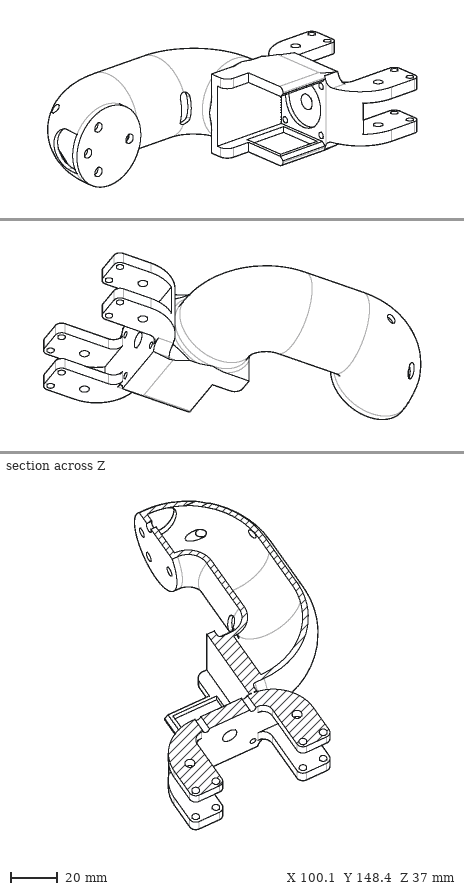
import cadquery as cq
import math

pipe_radius = 18.5
pipe_wall = 2.0
bend_radius = 23.5
straight_length = 28.0
lower_axis_y = pipe_radius
bend_start_y = lower_axis_y + bend_radius
bend_end_y = bend_start_y + straight_length
upper_axis_y = bend_end_y + bend_radius
pipe_axis_x = pipe_radius
pipe_end_x = pipe_axis_x + bend_radius

flange_thickness = 2.7
flange_bolt_radius = 12.0
driver_hole_count = 3
flange_bolt_diameter = 4.2
access_radius = 9.2
access_center_x = 36.0

cable_slot_length = 15.0
cable_slot_width = 5.0

bracket_half_height = pipe_radius
side_plate_thickness = 3.8
motor_size = 28.0
motor_center_x = 65.64
cavity_left_x = motor_center_x - motor_size / 2
cavity_right_x = motor_center_x + motor_size / 2
side_plate_x = cavity_left_x - side_plate_thickness
side_plate_front_y = upper_axis_y - pipe_radius
flange_front_y = 87.7
tab_length = 9.7
tab_corner_radius = 4.0
lip_round = 2.2
lip_chamfer = 1.6
blend_radius = 1.3

motor_wall_y = upper_axis_y + pipe_radius
motor_wall_thickness = 7.6
back_y = motor_wall_y + motor_wall_thickness
motor_bolt_spacing = 23.0
motor_bolt_diameter = 2.8
motor_shaft_diameter = 7.0
motor_pilot_diameter = 22.5
motor_pilot_depth = 2.0

slope_start_y = 110.4
slope_drop = 1.6

pocket_side_margin = 3.2
pocket_front_margin = 1.6
pocket_depth = 2.7

arm_width = 16.0
arm_spacing = 53.0
arm_tip_y = 148.38
arm_outer_z = 12.7
arm_inner_z = 7.25
arm_outer_radius = 20.0
arm_tip_radius = 3.0
arm_tip_hole_diameter = 3.2
arm_tip_hole_spacing = 10.0
arm_tip_hole_setback = 3.0
arm_pivot_diameter = 4.1
arm_pivot_y = 131.5
fork_half_width = (arm_spacing + arm_width) / 2
fork_half_gap = (arm_spacing - arm_width) / 2
fork_fillet = fork_half_gap - motor_size / 2
arm_straight_y = motor_wall_y + arm_outer_radius

runout_length = 11.0

clearance = 5.0

selection_margin = 1.0


def box(x0, x1, y0, y1, z0, z1):
    """Axis-aligned box between two corners."""
    return cq.Workplane("XY").box(x1 - x0, y1 - y0, z1 - z0, centered=False).translate((x0, y0, z0))


def pipe_path():
    """Centre line from the lower end, along Y, to the upper end."""
    offset = bend_radius * math.sqrt(0.5)
    return (
        cq.Workplane("XY")
        .moveTo(pipe_end_x, lower_axis_y)
        .threePointArc(
            (pipe_end_x - offset, bend_start_y - offset),
            (pipe_axis_x, bend_start_y),
        )
        .lineTo(pipe_axis_x, bend_end_y)
        .threePointArc(
            (pipe_end_x - offset, bend_end_y + offset),
            (pipe_end_x, upper_axis_y),
        )
    )


def pipe_sweep(radius):
    """Round bar of the given radius along the pipe centre line."""
    profile = cq.Workplane("YZ", origin=(pipe_end_x, lower_axis_y, 0)).circle(radius)
    return profile.sweep(pipe_path())


def x_cylinder(radius, x0, x1, y, z=0):
    """Cylinder along X."""
    return cq.Workplane("YZ", origin=(x0, y, z)).circle(radius).extrude(x1 - x0)


def y_cylinders(diameter, y0, y1, points):
    """Cylinders along Y at the given (x, z) points."""
    start = cq.Workplane("XZ", origin=(0, y0, 0))
    return start.pushPoints(points).circle(diameter / 2).extrude(y0 - y1)


def end_blend():
    """Concave ring blending the upper pipe end into the side plate."""
    start_x = side_plate_x - blend_radius
    mid = blend_radius * math.sqrt(0.5)
    outer_radius = pipe_radius + blend_radius
    ring = (
        cq.Workplane("XY")
        .moveTo(start_x, 0)
        .lineTo(start_x, pipe_radius)
        .threePointArc(
            (start_x + mid, outer_radius - mid),
            (side_plate_x, outer_radius),
        )
        .lineTo(side_plate_x, 0)
        .close()
        .revolve(360, (0, 0, 0), (1, 0, 0))
        .translate((0, upper_axis_y, 0))
    )
    plate_zone = box(
        start_x, side_plate_x,
        side_plate_front_y, motor_wall_y,
        -bracket_half_height, bracket_half_height,
    )
    return ring.intersect(plate_zone)


def pipe_shell():
    """Pipe body with its end flange and the stub reaching the side plate."""
    flange = x_cylinder(pipe_radius, pipe_end_x, pipe_end_x + flange_thickness, lower_axis_y)
    stub = x_cylinder(pipe_radius, pipe_end_x, side_plate_x, upper_axis_y)
    return pipe_sweep(pipe_radius).union(flange).union(stub).union(end_blend())


def pipe_cuts():
    """Bore, access opening, cable slot and flange bolt holes.

    Driver holes run from the outer wall through the flange.
    One more bolt hole faces the access opening.
    """
    cuts = pipe_sweep(pipe_radius - pipe_wall)
    access = (
        cq.Workplane("XZ", origin=(0, lower_axis_y, 0))
        .moveTo(pipe_end_x, access_radius)
        .lineTo(access_center_x, access_radius)
        .threePointArc((access_center_x - access_radius, 0), (access_center_x, -access_radius))
        .lineTo(pipe_end_x, -access_radius)
        .close()
        .extrude(pipe_radius + clearance)
    )
    slot = (
        cq.Workplane("YZ", origin=(pipe_axis_x, bend_end_y, 0))
        .slot2D(cable_slot_length, cable_slot_width, 90)
        .extrude(pipe_radius + clearance)
    )
    cuts = cuts.union(access).union(slot)
    flange_end_x = pipe_end_x + flange_thickness + clearance
    for index in range(driver_hole_count):
        angle = 2 * math.pi * index / driver_hole_count
        driver_hole = x_cylinder(
            flange_bolt_diameter / 2,
            -clearance,
            flange_end_x,
            lower_axis_y + flange_bolt_radius * math.cos(angle),
            flange_bolt_radius * math.sin(angle),
        )
        cuts = cuts.union(driver_hole)
    access_bolt = x_cylinder(
        flange_bolt_diameter / 2,
        access_center_x,
        flange_end_x,
        lower_axis_y - flange_bolt_radius,
    )
    return cuts.union(access_bolt)


def channel_block():
    """Solid block of the bracket with rounded lips and front tabs."""
    body = (
        box(
            cavity_left_x, cavity_right_x,
            flange_front_y, back_y,
            -bracket_half_height, bracket_half_height,
        )
        .edges("|Y and >X")
        .fillet(lip_round)
    )
    side = box(
        side_plate_x, cavity_left_x,
        side_plate_front_y, motor_wall_y,
        -bracket_half_height, bracket_half_height,
    )
    tab = (
        box(
            side_plate_x, side_plate_x + tab_length,
            side_plate_front_y, flange_front_y,
            -bracket_half_height, bracket_half_height,
        )
        .edges("|Z and >X and <Y")
        .fillet(tab_corner_radius)
    )
    return body.union(side).union(tab)


def motor_cavity():
    """Square motor space with bevelled lips, flange pockets and motor holes."""
    half = motor_size / 2
    cavity = (
        cq.Workplane("XZ", origin=(0, motor_wall_y, 0))
        .moveTo(cavity_left_x, -half)
        .lineTo(cavity_right_x - lip_chamfer, -half)
        .lineTo(cavity_right_x, -half - lip_chamfer)
        .lineTo(cavity_right_x + clearance, -half - lip_chamfer)
        .lineTo(cavity_right_x + clearance, half + lip_chamfer)
        .lineTo(cavity_right_x, half + lip_chamfer)
        .lineTo(cavity_right_x - lip_chamfer, half)
        .lineTo(cavity_left_x, half)
        .close()
        .extrude(motor_wall_y - side_plate_front_y + clearance)
    )
    pockets = box(
        cavity_left_x + pocket_side_margin, cavity_right_x - pocket_side_margin,
        flange_front_y + pocket_front_margin, slope_start_y,
        -half - pocket_depth, half + pocket_depth,
    )
    bolt_offset = motor_bolt_spacing / 2
    bolts = [
        (motor_center_x + side_x * bolt_offset, side_z * bolt_offset)
        for side_x in (-1, 1)
        for side_z in (-1, 1)
    ]
    center = [(motor_center_x, 0)]
    through_y = back_y + clearance
    return (
        cavity.union(pockets)
        .union(y_cylinders(motor_bolt_diameter, motor_wall_y, through_y, bolts))
        .union(y_cylinders(motor_shaft_diameter, motor_wall_y, through_y, center))
        .union(y_cylinders(motor_pilot_diameter, motor_wall_y, motor_wall_y + motor_pilot_depth, center))
    )


def back_slope():
    """Upper wedge removed where the block tapers toward its back face."""
    return (
        cq.Workplane("YZ", origin=(side_plate_x, 0, 0))
        .moveTo(slope_start_y, bracket_half_height)
        .lineTo(back_y, bracket_half_height - slope_drop)
        .lineTo(back_y, bracket_half_height + clearance)
        .lineTo(slope_start_y, bracket_half_height + clearance)
        .close()
        .extrude(cavity_right_x - side_plate_x + clearance)
    )


def fillet_runout():
    """Upper cutter carrying the web fillet obliquely across the side plate corner."""
    mid = fork_fillet * (1 - math.sqrt(0.5))
    fillet_top = arm_outer_z + fork_fillet
    outer_x = cavity_left_x - fork_fillet
    far_x = outer_x - clearance
    far_z = bracket_half_height + clearance
    profile = (
        cq.Workplane("XZ", origin=(0, motor_wall_y, 0))
        .moveTo(far_x, arm_outer_z)
        .lineTo(outer_x, arm_outer_z)
        .threePointArc((cavity_left_x - mid, arm_outer_z + mid), (cavity_left_x, fillet_top))
        .lineTo(cavity_left_x, far_z)
        .lineTo(far_x, far_z)
        .close()
    )
    drift = cq.Vector(side_plate_x - cavity_left_x, -runout_length, bracket_half_height - arm_outer_z)
    return cq.Workplane(cq.Solid.extrudeLinear(profile.wires().val(), [], drift))


def fork_outline(half_height):
    """Fork plan, a web with rounded corners and two uprights, extruded about Z = 0."""
    left = motor_center_x - fork_half_width
    right = motor_center_x + fork_half_width
    gap_left = motor_center_x - fork_half_gap
    gap_right = motor_center_x + fork_half_gap
    mid = arm_outer_radius * (1 - math.sqrt(0.5))
    plan = (
        cq.Workplane("XY")
        .moveTo(left + arm_outer_radius, motor_wall_y)
        .lineTo(right - arm_outer_radius, motor_wall_y)
        .threePointArc((right - mid, motor_wall_y + mid), (right, arm_straight_y))
        .lineTo(right, arm_tip_y)
        .lineTo(gap_right, arm_tip_y)
        .lineTo(gap_right, back_y)
        .lineTo(gap_left, back_y)
        .lineTo(gap_left, arm_tip_y)
        .lineTo(left, arm_tip_y)
        .lineTo(left, arm_straight_y)
        .threePointArc((left + mid, motor_wall_y + mid), (left + arm_outer_radius, motor_wall_y))
        .close()
    )
    fork_body = plan.extrude(half_height, both=True)
    inner_corners = cq.selectors.BoxSelector(
        (gap_left - selection_margin, back_y - selection_margin, -selection_margin),
        (gap_right + selection_margin, back_y + selection_margin, selection_margin),
    )
    fork_body = fork_body.edges("|Z").edges(inner_corners).fillet(fork_fillet)
    return fork_body.edges("|Z and >Y").fillet(arm_tip_radius)


def fork():
    """Fork split into upper and lower arms, with tip and pivot holes."""
    split = box(
        motor_center_x - fork_half_width - clearance, motor_center_x + fork_half_width + clearance,
        back_y, arm_tip_y + clearance,
        -arm_inner_z, arm_inner_z,
    )
    tip_points = []
    pivot_points = []
    for side in (-1, 1):
        arm_x = motor_center_x + side * arm_spacing / 2
        pivot_points.append((arm_x, arm_pivot_y))
        for offset in (-arm_tip_hole_spacing / 2, arm_tip_hole_spacing / 2):
            tip_points.append((arm_x + offset, arm_tip_y - arm_tip_hole_setback))
    base = cq.Workplane("XY", origin=(0, 0, -arm_outer_z))
    tip_holes = base.pushPoints(tip_points).circle(arm_tip_hole_diameter / 2).extrude(2 * arm_outer_z)
    pivot_holes = base.pushPoints(pivot_points).circle(arm_pivot_diameter / 2).extrude(2 * arm_outer_z)
    return fork_outline(arm_outer_z).cut(split).cut(tip_holes).cut(pivot_holes)


def web_fillet():
    """Upper right concave fillet between the web top and the bracket end."""
    mid = fork_fillet * (1 - math.sqrt(0.5))
    inner_x = cavity_right_x - lip_round
    fillet_top = arm_outer_z + fork_fillet
    return (
        cq.Workplane("XZ", origin=(0, motor_wall_y, 0))
        .moveTo(inner_x, arm_outer_z)
        .lineTo(cavity_right_x + fork_fillet, arm_outer_z)
        .threePointArc((cavity_right_x + mid, arm_outer_z + mid), (cavity_right_x, fillet_top))
        .lineTo(inner_x, fillet_top)
        .close()
        .extrude(-motor_wall_thickness)
    )


def both_halves(upper):
    """The given upper shape together with its mirror image below Z = 0."""
    return upper.union(upper.mirror("XY"))


def bracket():
    """Channel, fork and web fillets as one body."""
    left_fillet = web_fillet().mirror("YZ").translate((2 * motor_center_x, 0, 0))
    fillets = web_fillet().union(left_fillet)
    fillets = both_halves(fillets).intersect(fork_outline(bracket_half_height))
    body = channel_block().cut(both_halves(fillet_runout())).union(fillets)
    body = body.cut(both_halves(back_slope())).union(fork())
    return body.cut(motor_cavity())


result = pipe_shell().cut(pipe_cuts()).union(bracket())